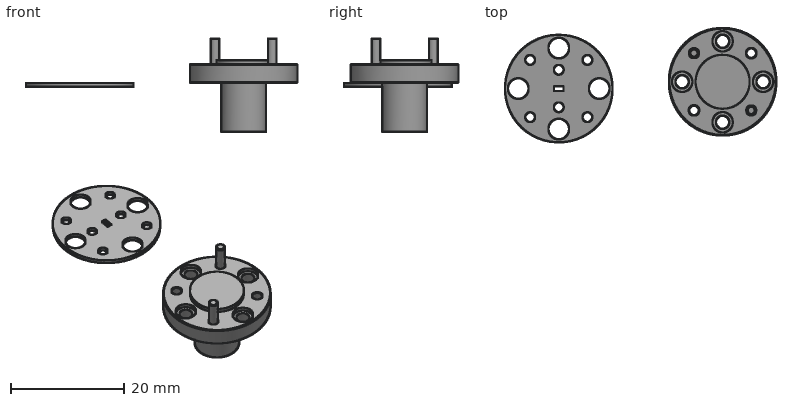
import cadquery as cq
import math

disc_diameter = 19.05
overall_length = 48.05
shim_offset_y = -1.2
bolt_circle_radius = 7.15
bolt_head_diameter = 3.6
hole_count = 4
hole_spacing = 360 / hole_count
pin_angle = 45

stem_diameter = 7.97
stem_length = 8.7
stem_chamfer = 0.1
flange_thickness = 3.3
flange_chamfer = 0.15
boss_diameter = 9.55
boss_height = 0.7
bolt_hole_diameter = 2.3
counterbore_depth = 0.7
alignment_hole_diameter = 1.7
pin_hole_chamfer = 0.1
flange_top = stem_length + flange_thickness

pin_diameter = 1.6
pin_top = 16.55
pin_chamfer = 0.15

shim_thickness = 0.7
shim_small_hole_diameter = 1.7
shim_inner_hole_radius = 3.3
slot_length = 1.65
slot_width = 0.8
shim_center_x = disc_diameter - overall_length
shim_bottom = stem_length - shim_thickness


def circle_point(angle):
    """Point on the bolt circle at an angle in degrees from +X."""
    turn = math.radians(angle)
    return (bolt_circle_radius * math.cos(turn), bolt_circle_radius * math.sin(turn))


bolt_points = [circle_point(i * hole_spacing) for i in range(hole_count)]
diagonal_points = [circle_point(pin_angle + i * hole_spacing) for i in range(hole_count)]
alignment_points = diagonal_points[0::2]
pin_points = diagonal_points[1::2]


def cylinders(points, diameter, bottom, height):
    """Upright cylinders of one size, one at each point."""
    return cq.Workplane("XY", origin=(0, 0, bottom)).pushPoints(points).circle(diameter / 2).extrude(height)


def chamfered_holes(points, diameter):
    """Cutters for through holes in the flange with a chamfered mouth at the top."""
    holes = cylinders(points, diameter, stem_length, flange_thickness)
    for x, y in points:
        mouth = cq.Solid.makeCone(
            diameter / 2,
            diameter / 2 + pin_hole_chamfer,
            pin_hole_chamfer,
            pnt=cq.Vector(x, y, flange_top - pin_hole_chamfer),
        )
        holes = holes.union(cq.Workplane(mouth))
    return holes


def make_flange():
    """Flange with its stem, boss, counterbored bolt holes and pin holes."""
    center = [(0, 0)]
    flange = cylinders(center, disc_diameter, stem_length, flange_thickness).edges().chamfer(flange_chamfer)
    stem = cylinders(center, stem_diameter, 0, stem_length).faces("<Z").edges().chamfer(stem_chamfer)
    boss = cylinders(center, boss_diameter, flange_top, boss_height)
    bolt_holes = cylinders(bolt_points, bolt_hole_diameter, stem_length, flange_thickness)
    counterbore_floor = flange_top - counterbore_depth
    counterbores = cylinders(bolt_points, bolt_head_diameter, counterbore_floor, counterbore_depth)
    return (
        flange.union(stem)
        .union(boss)
        .cut(bolt_holes)
        .cut(counterbores)
        .cut(chamfered_holes(alignment_points, alignment_hole_diameter))
        .cut(chamfered_holes(pin_points, pin_diameter))
    )


def make_pin(point):
    """Pin through the full flange thickness, chamfered at its free end."""
    pin = cylinders([point], pin_diameter, stem_length, pin_top - stem_length)
    return pin.faces(">Z").edges().chamfer(pin_chamfer)


def make_shim():
    """Thin disc with bolt-head clearances, small holes and a central slot."""
    inner_points = [(0, shim_inner_hole_radius), (0, -shim_inner_hole_radius)]
    small_points = diagonal_points + inner_points
    slot = cq.Workplane("XY", origin=(0, 0, shim_bottom)).rect(slot_length, slot_width).extrude(shim_thickness)
    shim = (
        cylinders([(0, 0)], disc_diameter, shim_bottom, shim_thickness)
        .cut(cylinders(bolt_points, bolt_head_diameter, shim_bottom, shim_thickness))
        .cut(cylinders(small_points, shim_small_hole_diameter, shim_bottom, shim_thickness))
        .cut(slot)
    )
    return shim.translate((shim_center_x, shim_offset_y, 0))


flange_body = make_flange()
shim_body = make_shim()
pins = [make_pin(point) for point in pin_points]

result = cq.Compound.makeCompound([flange_body.val(), shim_body.val(), *[pin.val() for pin in pins]])